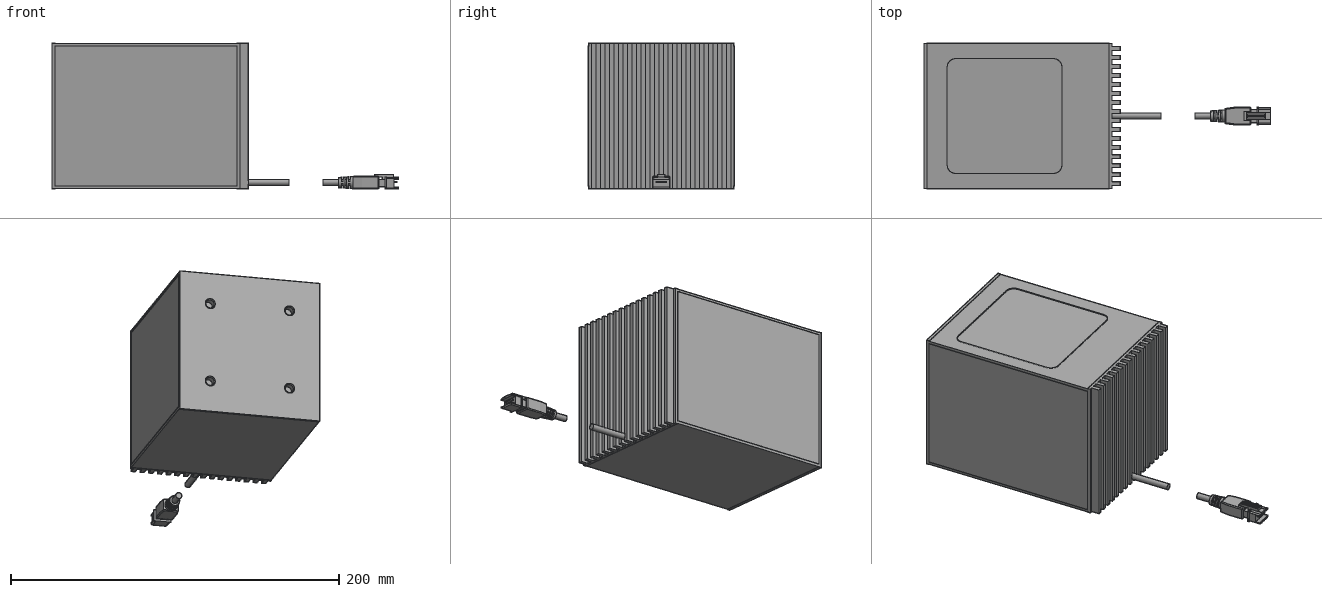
import cadquery as cq

housing_height = 89.0
housing_width = 88.5
plate_thickness = 2.0
fin_root_x = 114.7
fin_length = 5.0
fin_count = 16
fin_pitch = 5.5
fin_thickness = 2.5
side_panel_margin = 2.0
side_panel_relief = 0.32
plate_lip = 0.2
window_size = 70.0
window_start_x = 14.2
window_corner_radius = 5.0
window_depth = 0.6
mount_spacing = 50.0
mount_diameter = 5.0
mount_mouth_diameter = 6.3
mount_depth = 5.0

cable_diameter = 3.8
cable_stub_end_x = 144.5
floor_z = -housing_height / 2

plug_height = 7.8
cable_z = floor_z + plug_height / 2
loose_cable_start_x = 165.2
sleeve_start_x = 174.7
sleeve_start_diameter = 6.3
sleeve_end_diameter = 7.5
first_sleeve_slot_x = 176.4
sleeve_slot_count = 3
sleeve_slot_pitch = 2.1
sleeve_slot_width = 1.0
sleeve_bridge_width = 1.0

grip_start_x = 183.5
grip_wide_x = 189.0
grip_end_x = 199.5
grip_narrow_width = 9.3
plug_width = 10.8
grip_chamfer = 0.6
latch_slot_length = 4.5
latch_slot_width = 5.7
latch_slot_depth = 1.3

neck_width = 8.2
neck_bottom = 1.3
neck_top = 6.0

head_start_x = 203.0
plug_end_x = 211.2
collar_length = 1.0
collar_lip = 0.2
head_top = 7.0
head_chamfer_width = 1.0
head_chamfer_height = 0.6
band_width = 4.5
band_height = 0.2
mouth_depth = 2.7
mouth_wall = 1.3
tongue_bottom = 3.8
tongue_thickness = 0.8
tongue_length = 1.7
tongue_width = 6.3

latch_start_x = 196.7
latch_end_x = 208.3
latch_bottom = 7.2
latch_top = 8.9
latch_rim = 0.6
latch_pocket_width = 2.5
latch_pocket_depth = 0.6
latch_rib_width = 0.8
latch_post_start_x = 201.3


def block(x_start, x_end, width, z_start, z_end):
    """Box centred on Y = 0 between the given X and Z limits."""
    return cq.Workplane("XY").box(
        x_end - x_start, width, z_end - z_start, centered=(False, True, False)
    ).translate((x_start, 0, z_start))


def plug_block(x_start, x_end, width, bottom, top):
    """Block whose heights are counted from the underside of the plug."""
    return block(x_start, x_end, width, floor_z + bottom, floor_z + top)


def cable(x_start, x_end):
    """Straight length of round cable along X."""
    return (
        cq.Workplane("YZ", origin=(x_start, 0, cable_z))
        .circle(cable_diameter / 2)
        .extrude(x_end - x_start)
    )


def make_fins():
    """Rear plate carrying a row of full-height cooling fins."""
    fins = block(fin_root_x - plate_thickness, fin_root_x, housing_width, floor_z, -floor_z)
    fin = block(fin_root_x, fin_root_x + fin_length, fin_thickness, floor_z, -floor_z)
    for index in range(fin_count):
        fin_y = (index - (fin_count - 1) / 2) * fin_pitch
        fins = fins.union(fin.translate((0, fin_y, 0)))
    return fins


def make_mount_holes():
    """Four blind holes in the front face, each with a chamfered mouth."""
    mouth_chamfer = (mount_mouth_diameter - mount_diameter) / 2
    profile = [
        (0, 0),
        (0, mount_mouth_diameter / 2),
        (mouth_chamfer, mount_diameter / 2),
        (mount_depth, mount_diameter / 2),
        (mount_depth, 0),
    ]
    hole = cq.Workplane("XY").polyline(profile).close().revolve(360, (0, 0, 0), (1, 0, 0))
    half = mount_spacing / 2
    holes = cq.Workplane("XY")
    for hole_y in (-half, half):
        for hole_z in (-half, half):
            holes = holes.add(hole.translate((0, hole_y, hole_z)))
    return holes.combine()


def make_housing():
    """Box with raised side panels, a window recess, mounting holes, fins and the cable stub."""
    rear_plate_x = fin_root_x - plate_thickness
    case_top = -floor_z - plate_lip
    front_plate = block(0, plate_thickness, housing_width, floor_z, -floor_z)
    case = block(plate_thickness, rear_plate_x, housing_width, -case_top, case_top)
    side_panels = block(
        plate_thickness,
        rear_plate_x,
        housing_width + 2 * side_panel_relief,
        floor_z + side_panel_margin,
        -floor_z - side_panel_margin,
    )
    window = (
        block(window_start_x, window_start_x + window_size, window_size, case_top - window_depth, case_top)
        .edges("|Z")
        .fillet(window_corner_radius)
    )
    return (
        front_plate.union(case)
        .union(side_panels)
        .cut(window)
        .cut(make_mount_holes())
        .union(make_fins())
        .union(cable(fin_root_x, cable_stub_end_x))
    )


def make_sleeve():
    """Tapered strain relief cut by slots that leave bridges on alternating sides."""
    profile = [
        (sleeve_start_x, 0),
        (sleeve_start_x, sleeve_start_diameter / 2),
        (grip_start_x, sleeve_end_diameter / 2),
        (grip_start_x, 0),
    ]
    sleeve = (
        cq.Workplane("XY").polyline(profile).close().revolve(360, (0, 0, 0), (1, 0, 0))
    )
    for index in range(sleeve_slot_count):
        slot_start = first_sleeve_slot_x + index * sleeve_slot_pitch
        slot = (
            cq.Workplane("YZ", origin=(slot_start, 0, 0))
            .circle(sleeve_end_diameter)
            .extrude(sleeve_slot_width)
        )
        bridge = block(
            slot_start,
            slot_start + sleeve_slot_width,
            2 * sleeve_end_diameter,
            -sleeve_bridge_width / 2,
            sleeve_bridge_width / 2,
        )
        if index % 2 == 1:
            bridge = bridge.rotate((0, 0, 0), (1, 0, 0), 90)
        sleeve = sleeve.cut(slot.cut(bridge))
    return sleeve.translate((0, 0, cable_z))


def make_grip():
    """Chamfered handle, tapering towards the sleeve end, with a slot under the latch tip."""
    outline = [
        (grip_start_x, grip_narrow_width / 2),
        (grip_wide_x, plug_width / 2),
        (grip_end_x, plug_width / 2),
    ]
    mirrored_outline = [(x, -y) for x, y in reversed(outline)]
    grip = (
        cq.Workplane("XY", origin=(0, 0, floor_z))
        .polyline(outline + mirrored_outline)
        .close()
        .extrude(plug_height)
        .faces("<Z or >Z or >X")
        .chamfer(grip_chamfer)
    )
    slot = plug_block(
        grip_end_x - latch_slot_length,
        grip_end_x,
        latch_slot_width,
        plug_height - latch_slot_depth,
        plug_height,
    )
    return grip.cut(slot)


def make_head():
    """Plug head with bevelled edges, a rear collar, a central band, and an open mouth around a tongue."""
    half_width = plug_width / 2 - collar_lip
    flat_half = half_width - head_chamfer_width
    shoulder = head_top - head_chamfer_height
    section = [
        (-flat_half, 0),
        (flat_half, 0),
        (half_width, head_chamfer_height),
        (half_width, shoulder),
        (flat_half, head_top),
        (-flat_half, head_top),
        (-half_width, shoulder),
        (-half_width, head_chamfer_height),
    ]
    head = (
        cq.Workplane("YZ", origin=(head_start_x, 0, floor_z))
        .polyline(section)
        .close()
        .extrude(plug_end_x - head_start_x)
    )
    band = plug_block(head_start_x, plug_end_x, band_width, shoulder, head_top + band_height)
    collar = plug_block(head_start_x, head_start_x + collar_length, plug_width, 0, head_top + collar_lip)
    mouth_x = plug_end_x - mouth_depth
    mouth = plug_block(mouth_x, plug_end_x, plug_width, mouth_wall, head_top - mouth_wall)
    tongue = plug_block(
        mouth_x,
        mouth_x + tongue_length,
        tongue_width,
        tongue_bottom,
        tongue_bottom + tongue_thickness,
    )
    return head.union(collar).union(band).cut(mouth).union(tongue)


def make_latch():
    """Latch lever with a ribbed pocket along its top, carried by a post behind the head collar."""
    lever = plug_block(latch_start_x, latch_end_x, band_width, latch_bottom, latch_top)
    pocket_start_x = latch_start_x + latch_rim
    pocket_end_x = latch_end_x - latch_rim
    pocket_floor = latch_top - latch_pocket_depth
    pocket = plug_block(pocket_start_x, pocket_end_x, latch_pocket_width, pocket_floor, latch_top)
    rib = plug_block(pocket_start_x, pocket_end_x, latch_rib_width, pocket_floor, latch_top)
    post = plug_block(latch_post_start_x, head_start_x, band_width, neck_top, latch_bottom)
    return lever.cut(pocket).union(rib).union(post)


def make_connector():
    """Loose cable end with its strain relief and latching plug."""
    neck = plug_block(grip_end_x, head_start_x, neck_width, neck_bottom, neck_top)
    return (
        cable(loose_cable_start_x, grip_start_x)
        .union(make_sleeve())
        .union(make_grip())
        .union(neck)
        .union(make_head())
        .union(make_latch())
    )


housing = make_housing()
connector = make_connector()
result = cq.Compound.makeCompound([housing.val(), connector.val()])